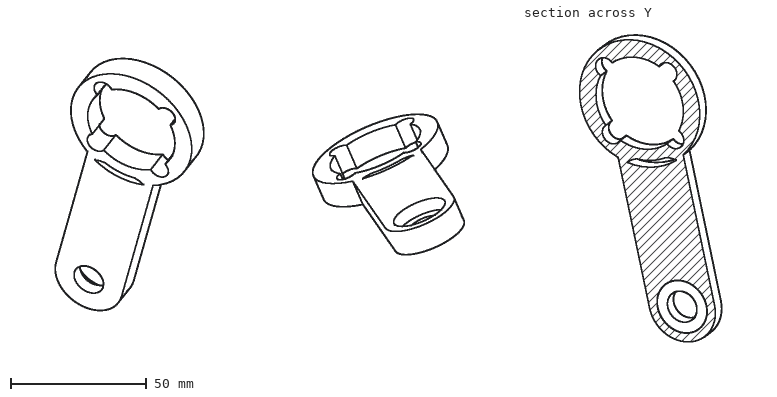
import cadquery as cq
import math

overall_height = 116.7
thickness = 10.0
ring_outer_radius = 25.0
ring_bore_radius = 18.0
arm_half_width = 13.9
arm_tilt = 12.7
pivot_radius = 6.1
counterbore_radius = 10.3
counterbore_depth = thickness / 2

arm_length = (overall_height - ring_outer_radius - arm_half_width) / math.cos(math.radians(arm_tilt))

notch_count = 4
notch_radius = 3.8
notch_center_radius = 18.3
first_notch_angle = 38.7

slot_inner_radius = 22.5
slot_shoulder_radius = 23.5
slot_inner_angle = 15.8
slot_shoulder_angle = 20.6
slot_tip_angle = 24.4


def polar(radius, angle):
    """Point at a radius and an angle in degrees from +X about the ring centre."""
    return (radius * math.cos(math.radians(angle)), radius * math.sin(math.radians(angle)))


arm_angle = 270 - arm_tilt
pivot_center = polar(arm_length, arm_angle)


def through_cylinder(center, radius):
    return cq.Workplane("XZ").center(*center).circle(radius).extrude(thickness)


def make_pivot_hole():
    """Through hole with a counterbore on the +Y face."""
    counterbore = (
        cq.Workplane("XZ")
        .center(*pivot_center)
        .circle(counterbore_radius)
        .extrude(counterbore_depth)
    )
    return through_cylinder(pivot_center, pivot_radius).union(counterbore)


def make_body():
    """Ring joined to a straight arm with a rounded end."""
    ring = through_cylinder((0, 0), ring_outer_radius)
    arm_end = through_cylinder(pivot_center, arm_half_width)
    arm_middle = polar(arm_length / 2, arm_angle)
    arm = (
        cq.Workplane("XZ")
        .center(*arm_middle)
        .transformed(rotate=(0, 0, arm_angle))
        .rect(arm_length, 2 * arm_half_width)
        .extrude(thickness)
    )
    return ring.union(arm).union(arm_end)


def make_ring_opening():
    """Bore with evenly spaced round notches."""
    opening = through_cylinder((0, 0), ring_bore_radius)
    for index in range(notch_count):
        angle = first_notch_angle + index * 360 / notch_count
        opening = opening.union(through_cylinder(polar(notch_center_radius, angle), notch_radius))
    return opening


def make_crescent_slot():
    """Slot between two arcs concentric with the ring, with curved shoulders at its ends."""

    def slot_point(radius, offset):
        return polar(radius, arm_angle + offset)

    return (
        cq.Workplane("XZ")
        .moveTo(*slot_point(ring_outer_radius, -slot_tip_angle))
        .threePointArc(slot_point(ring_outer_radius, 0), slot_point(ring_outer_radius, slot_tip_angle))
        .threePointArc(
            slot_point(slot_shoulder_radius, slot_shoulder_angle),
            slot_point(slot_inner_radius, slot_inner_angle),
        )
        .threePointArc(slot_point(slot_inner_radius, 0), slot_point(slot_inner_radius, -slot_inner_angle))
        .threePointArc(
            slot_point(slot_shoulder_radius, -slot_shoulder_angle),
            slot_point(ring_outer_radius, -slot_tip_angle),
        )
        .close()
        .extrude(thickness)
    )


result = (
    make_body()
    .cut(make_ring_opening())
    .cut(make_crescent_slot())
    .cut(make_pivot_hole())
)